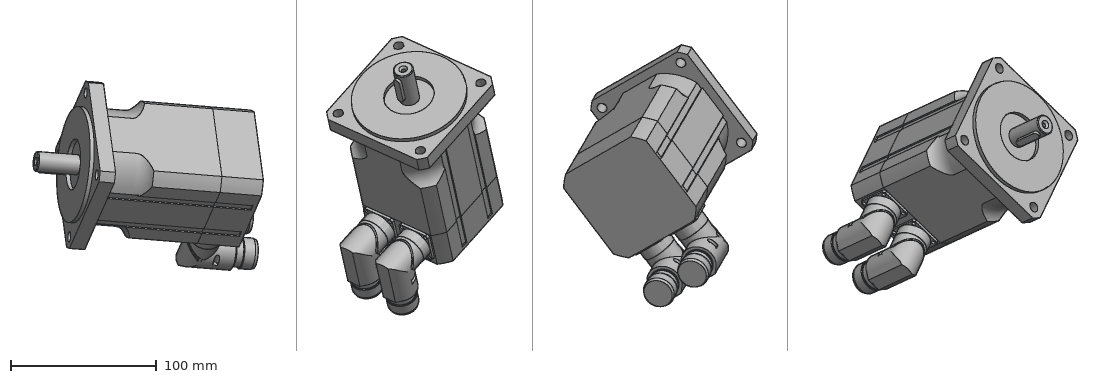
import cadquery as cq
import math


shaft_heading = math.radians(30.15)
shaft_rise = math.radians(9.32)
shaft_roll = math.radians(34.95)

body_width = 74.1
body_corner_diameter = 94.3
body_back = -119.7
seam = -90.0
flange_width = 86.8
flange_corner_diameter = 115.5
flange_thickness = 11.0
bolt_circle = 100.0
bolt_hole_diameter = 7.0
pilot_diameter = 80.0
pilot_height = 3.0
recess_diameter = 35.0

relief_diameter = pilot_diameter
relief_straight_end = -30.5
relief_arc_radius = 11.7

groove_width = 5.2
groove_depth = 1.0
groove_offset = 15.0
groove_back = -116.7

shaft_diameter = 14.0
shaft_tip = 30.0
shaft_chamfer = 0.7
centre_hole_diameter = 2.8
centre_hole_depth = 10.5
countersink_diameter = 6.0
countersink_angle = 90
key_width = 5.0
key_height = 2.1
key_length = 22.0
key_start = 5.0

connector_offset = 15.3
connector_z = -102.5
plate_width = 25.0
plate_thickness = 2.1
plate_corner_chamfer = 1.7
plate_hole_diameter = 2.8
plate_hole_spacing = 20.0
collar_diameter = 24.5
collar_height = 7.7
collar_flat_distance = 12.0
turret_diameter = 24.0
elbow_diameter = 25.0
elbow_drop = 26.1
elbow_rim_diameter = 24.5
elbow_rim_height = 1.5
facet_angle = math.radians(50)
elbow_back = -125.8
neck_ring_diameter = 20.9
neck_ring_back = -127.2
neck_diameter = 20.0
cap_diameter = 22.0
cap_front = -132.0
cap_back = -142.5
cap_front_chamfer = 0.5
cap_taper_length = 2.3
cap_taper_depth = 0.9
side_pocket_diameter = 3.8
side_pocket_offset = 11.7
side_pocket_z = -113.0

body_face = body_width / 2
body_bottom = -body_face
elbow_radius = elbow_diameter / 2
elbow_y = body_bottom - elbow_drop


def rounded_square(width, corner_diameter, back, front):
    """Square prism along Z whose corners are turned down to a diameter."""
    length = front - back
    square = cq.Workplane("XY", origin=(0, 0, back)).rect(width, width).extrude(length)
    disc = cq.Workplane("XY", origin=(0, 0, back)).circle(corner_diameter / 2).extrude(length)
    return square.intersect(disc)


def rod_z(diameter, x, y, back, front):
    return cq.Workplane("XY", origin=(x, y, back)).circle(diameter / 2).extrude(front - back)


def post_y(diameter, x, z, top, height):
    """Round post along Y that hangs down from its top."""
    return cq.Workplane("XZ", origin=(x, top, z)).circle(diameter / 2).extrude(height)


def flank_grooves():
    grooves = cq.Workplane("XY")
    groove_length = -flange_thickness - groove_back
    for side in (-1, 1):
        for y in (-groove_offset, groove_offset):
            grooves = grooves.union(
                cq.Workplane("XY", origin=(side * body_face, y, groove_back))
                .rect(2 * groove_depth, groove_width)
                .extrude(groove_length)
            )
    return grooves


def corner_relief():
    """Ring outside the relief diameter, its back end swept up in an arc."""
    inner = relief_diameter / 2
    outer = inner + relief_arc_radius
    diagonal = math.sqrt(0.5) * relief_arc_radius
    return (
        cq.Workplane("XZ")
        .moveTo(inner, -flange_thickness)
        .lineTo(inner, relief_straight_end)
        .threePointArc(
            (outer - diagonal, relief_straight_end - diagonal),
            (outer, relief_straight_end - relief_arc_radius),
        )
        .lineTo(outer, -flange_thickness)
        .close()
        .revolve(360, (0, 0, 0), (0, 1, 0))
    )


def make_front_housing():
    body = rounded_square(body_width, body_corner_diameter, seam, -flange_thickness)
    body = body.cut(corner_relief()).cut(flank_grooves())
    flange = rounded_square(flange_width, flange_corner_diameter, -flange_thickness, 0)
    bolt_spacing = bolt_circle * math.sqrt(0.5)
    bolt_holes = (
        cq.Workplane("XY", origin=(0, 0, -flange_thickness))
        .rect(bolt_spacing, bolt_spacing, forConstruction=True)
        .vertices()
        .circle(bolt_hole_diameter / 2)
        .extrude(flange_thickness)
    )
    pilot = rod_z(pilot_diameter, 0, 0, 0, pilot_height)
    recess = rod_z(recess_diameter, 0, 0, 0, pilot_height)
    return body.union(flange.cut(bolt_holes)).union(pilot.cut(recess))


def make_rear_housing():
    return rounded_square(body_width, body_corner_diameter, body_back, seam).cut(flank_grooves())


def make_shaft():
    """Shaft with its key, standing on the floor of the pilot recess."""
    shaft = rod_z(shaft_diameter, 0, 0, 0, shaft_tip).faces(">Z").chamfer(shaft_chamfer)
    key = (
        cq.Workplane("XZ", origin=(0, 0, key_start + key_length / 2))
        .slot2D(key_length, key_width, 90)
        .extrude(shaft_diameter / 2 + key_height)
    )
    return (
        shaft.union(key)
        .faces(">Z")
        .workplane(origin=(0, 0, shaft_tip))
        .cskHole(centre_hole_diameter, countersink_diameter, countersink_angle, centre_hole_depth)
    )


def mounting_base(x):
    """Square plate with four screw holes, a round collar with a flat at each screw, and a turret."""
    plate = (
        cq.Workplane("XZ", origin=(x, body_bottom, connector_z))
        .rect(plate_width, plate_width)
        .extrude(plate_thickness)
        .edges("|Y")
        .chamfer(plate_corner_chamfer)
    )
    holes = (
        cq.Workplane("XZ", origin=(x, body_bottom, connector_z))
        .rect(plate_hole_spacing, plate_hole_spacing, forConstruction=True)
        .vertices()
        .circle(plate_hole_diameter / 2)
        .extrude(plate_thickness)
    )
    collar_top = body_bottom - plate_thickness
    collar_flats = (
        cq.Workplane("XZ", origin=(x, collar_top, connector_z))
        .transformed(rotate=(0, 0, 45))
        .rect(2 * collar_flat_distance, 2 * collar_flat_distance)
        .extrude(collar_height)
    )
    collar = post_y(collar_diameter, x, connector_z, collar_top, collar_height).intersect(collar_flats)
    turret = post_y(turret_diameter, x, connector_z, collar_top, elbow_drop - plate_thickness)
    return plate.cut(holes).union(collar).union(turret)


def elbow_rim(x):
    """Narrow rim that rises from the front of the elbow around the turret."""
    post = post_y(elbow_rim_diameter, x, connector_z, elbow_y + elbow_diameter, elbow_diameter)
    rod = rod_z(
        elbow_diameter, x, elbow_y + elbow_rim_height, connector_z, connector_z + elbow_radius
    )
    return post.intersect(rod)


def elbow(x):
    """Tube along Z, round on top and facetted to a flat below, rounded off at its front."""
    length = connector_z + elbow_radius - elbow_back
    flat_half = elbow_radius * math.tan(math.pi / 8)
    facet_x = elbow_radius * math.cos(facet_angle)
    facet_y = -elbow_radius * math.sin(facet_angle)
    tube = (
        cq.Workplane("XY", origin=(x, elbow_y, elbow_back))
        .moveTo(-facet_x, facet_y)
        .threePointArc((0, elbow_radius), (facet_x, facet_y))
        .lineTo(flat_half, -elbow_radius)
        .lineTo(-flat_half, -elbow_radius)
        .close()
        .extrude(length)
    )
    straight_part = (
        cq.Workplane("XY", origin=(x, elbow_y, elbow_back))
        .rect(elbow_diameter, elbow_diameter)
        .extrude(connector_z - elbow_back)
    )
    nose = post_y(elbow_diameter, x, connector_z, elbow_y + elbow_radius, elbow_diameter)
    shell = tube.intersect(straight_part.union(nose)).union(elbow_rim(x))
    for side in (-1, 1):
        shell = shell.cut(
            post_y(side_pocket_diameter, x + side * side_pocket_offset, side_pocket_z,
                   elbow_y + elbow_radius, elbow_radius)
        )
    return shell


def cable_end(x):
    """Neck behind the elbow with a thicker cap on its end."""
    ring = rod_z(neck_ring_diameter, x, elbow_y, neck_ring_back, elbow_back)
    neck = rod_z(neck_diameter, x, elbow_y, cap_front, elbow_back)
    cap = rod_z(cap_diameter, x, elbow_y, cap_back, cap_front)
    cap = cap.faces(">Z").chamfer(cap_front_chamfer).faces("<Z").chamfer(cap_taper_length, cap_taper_depth)
    return ring.union(neck).union(cap)


def make_connector(x):
    return mounting_base(x).union(elbow(x)).union(cable_end(x))


def motor_pose():
    """Location whose X, Y and Z are those of the motor frame."""
    level = math.cos(shaft_rise)
    forward = cq.Vector(
        -math.sin(shaft_heading) * level, -math.cos(shaft_heading) * level, math.sin(shaft_rise)
    )
    sideways = cq.Vector(math.cos(shaft_heading), -math.sin(shaft_heading), 0)
    upward = forward.cross(sideways)
    right = sideways * math.cos(shaft_roll) - upward * math.sin(shaft_roll)
    return cq.Location(cq.Plane(origin=(0, 0, 0), xDir=right, normal=forward))


front_housing = make_front_housing()
rear_housing = make_rear_housing()
shaft = make_shaft()
connectors = [make_connector(x) for x in (-connector_offset, connector_offset)]

bodies = [front_housing, rear_housing, shaft, *connectors]
pose = motor_pose()
result = cq.Compound.makeCompound([body.val().moved(pose) for body in bodies])